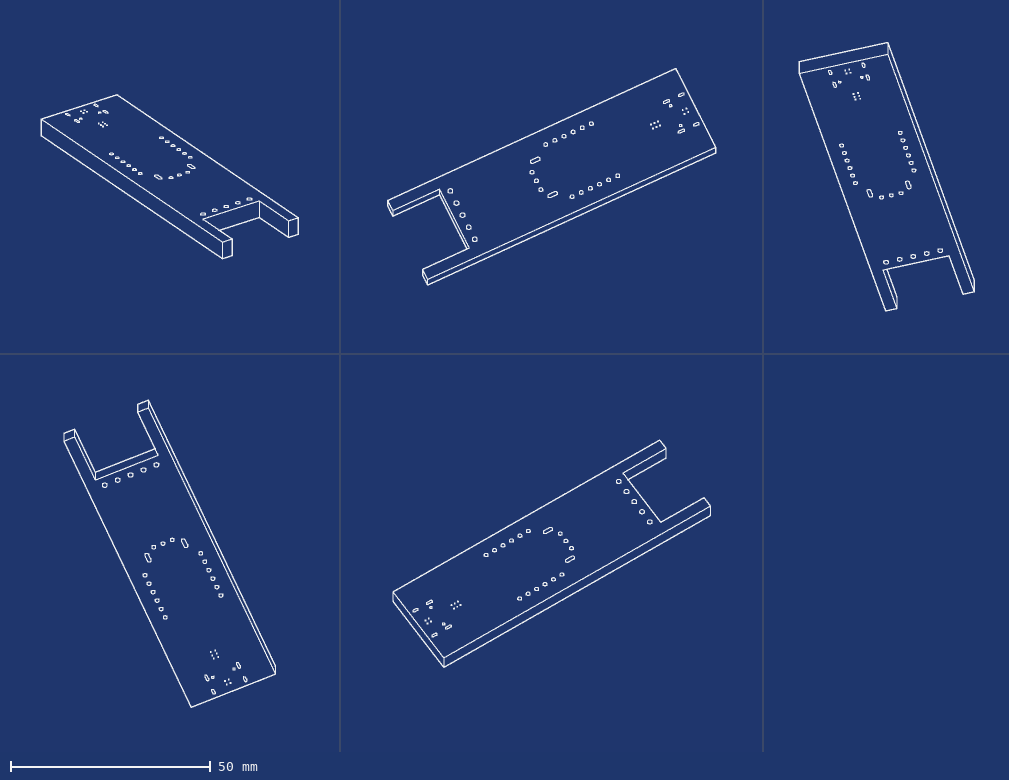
import cadquery as cq

LENGTH = 80.0
WIDTH = 23.0
THICKNESS = 4.7
LEFT_END = -LENGTH / 2
RIGHT_END = LENGTH / 2

NOTCH_DEPTH = 13.0
NOTCH_WIDTH = 17.1

PIN_DIAMETER = 1.0
PINS_PER_ROW = 6
PIN_ROW_CENTER_X = LEFT_END + 31.7
PIN_ROW_SPACING = 15.2
PITCHES_BETWEEN_ROWS = 6
PIN_PITCH = PIN_ROW_SPACING / PITCHES_BETWEEN_ROWS
END_PIN_X = LEFT_END + 44.2
END_PIN_COUNT = 3

MODULE_SLOT_LENGTH = 2.6
MODULE_SLOT_WIDTH = 1.0
MODULE_SLOT_X = LEFT_END + 42.2
MODULE_SLOT_SPACING = 10.0

TERMINAL_DIAMETER = 1.2
TERMINAL_PITCH = 3.5
TERMINAL_COUNT = 5
TERMINAL_X = LEFT_END + 64.8
TERMINAL_Y = 0.1

CONNECTOR_Y = -0.36
SHELL_SLOT_WIDTH = 0.6
SHELL_SLOT_SPACING = 8.6
FRONT_SLOT_LENGTH = 1.4
FRONT_SLOT_X = LEFT_END + 1.8
REAR_SLOT_LENGTH = 1.7
REAR_SLOT_X = LEFT_END + 5.9
PEG_DIAMETER = 0.6
PEG_SPACING = 5.8
PEG_X = LEFT_END + 5.4

VIA_DIAMETER = 0.2
SQUARE_GRID_X = LEFT_END + 2.7
SQUARE_GRID_PITCH = 1.0
WIDE_GRID_X = LEFT_END + 11.0
WIDE_GRID_PITCH_X = 1.0
WIDE_GRID_PITCH_Y = 1.2


def grid(center_x, center_y, pitch_x, pitch_y, columns, rows):
    """Points of a rectangular grid around its center."""
    return [
        (
            center_x + (column - (columns - 1) / 2) * pitch_x,
            center_y + (row - (rows - 1) / 2) * pitch_y,
        )
        for column in range(columns)
        for row in range(rows)
    ]


def pair(x, center_y, spacing):
    """Two points one above the other across the board width."""
    return [(x, center_y - spacing / 2), (x, center_y + spacing / 2)]


def drill(body, points, diameter):
    """Cut round through holes."""
    holes = cq.Workplane("XY").pushPoints(points).circle(diameter / 2).extrude(THICKNESS)
    return body.cut(holes)


def cut_slots(body, points, length, width):
    """Cut round-ended through slots that run along X."""
    slots = cq.Workplane("XY").pushPoints(points).slot2D(length, width).extrude(THICKNESS)
    return body.cut(slots)


def make_board():
    """Plate with a rectangular notch open to the right end."""
    plate = cq.Workplane("XY").box(LENGTH, WIDTH, THICKNESS, centered=(True, True, False))
    notch = (
        cq.Workplane("XY")
        .center(RIGHT_END - NOTCH_DEPTH / 2, 0)
        .rect(NOTCH_DEPTH, NOTCH_WIDTH)
        .extrude(THICKNESS)
    )
    return plate.cut(notch)


def add_module_footprint(body):
    """Pin rows and slots in the middle of the board."""
    rows = grid(PIN_ROW_CENTER_X, 0, PIN_PITCH, PIN_ROW_SPACING, PINS_PER_ROW, 2)
    end_row = grid(END_PIN_X, 0, 0, PIN_PITCH, 1, END_PIN_COUNT)
    body = drill(body, rows + end_row, PIN_DIAMETER)
    slots = pair(MODULE_SLOT_X, 0, MODULE_SLOT_SPACING)
    return cut_slots(body, slots, MODULE_SLOT_LENGTH, MODULE_SLOT_WIDTH)


def add_terminal_holes(body):
    """Column of holes beside the notch."""
    points = grid(TERMINAL_X, TERMINAL_Y, 0, TERMINAL_PITCH, 1, TERMINAL_COUNT)
    return drill(body, points, TERMINAL_DIAMETER)


def add_connector_footprint(body):
    """Shell slots and locating peg holes at the left end."""
    for x, length in ((FRONT_SLOT_X, FRONT_SLOT_LENGTH), (REAR_SLOT_X, REAR_SLOT_LENGTH)):
        slots = pair(x, CONNECTOR_Y, SHELL_SLOT_SPACING)
        body = cut_slots(body, slots, length, SHELL_SLOT_WIDTH)
    return drill(body, pair(PEG_X, CONNECTOR_Y, PEG_SPACING), PEG_DIAMETER)


def add_vias(body):
    """Two grids of very small holes level with the connector."""
    square = grid(SQUARE_GRID_X, CONNECTOR_Y, SQUARE_GRID_PITCH, SQUARE_GRID_PITCH, 2, 2)
    wide = grid(WIDE_GRID_X, CONNECTOR_Y, WIDE_GRID_PITCH_X, WIDE_GRID_PITCH_Y, 3, 2)
    return drill(body, square + wide, VIA_DIAMETER)


result = make_board()
result = add_module_footprint(result)
result = add_terminal_holes(result)
result = add_connector_footprint(result)
result = add_vias(result)